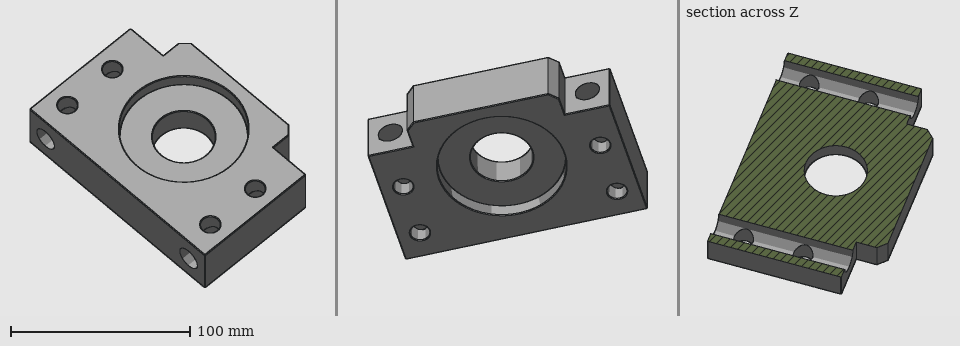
import cadquery as cq

WIDTH = 140.0
LENGTH = 96.0
HEIGHT = 32.0

TAB_WIDTH = 88.0
TAB_LENGTH = 17.0
TAB_BEVEL = 5.0
SHOULDER_Y = LENGTH - TAB_LENGTH

BORE_Y = 52.0
BORE_DIAMETER = 35.0
SEAT_DIAMETER = 72.0
SEAT_DEPTH = 7.5

HOLE_SPACING_X = 114.0
HOLE_PITCH_Y = 35.0
VERTICAL_HOLE_DIAMETER = 11.0
CROSS_HOLE_DIAMETER = 14.0

EDGE_CHAMFER = 0.5


def make_block():
    """Block with a bevelled tab; Y = 0 is the front face and Z = 0 the bottom."""
    base = cq.Workplane("XY").rect(WIDTH, SHOULDER_Y).extrude(HEIGHT)
    base = base.translate((0, SHOULDER_Y / 2, 0))
    base = base.edges("|Z").chamfer(EDGE_CHAMFER)
    tab = cq.Workplane("XY").rect(TAB_WIDTH, LENGTH).extrude(HEIGHT)
    tab = tab.translate((0, LENGTH / 2, 0))
    tab = tab.edges("|Z and >Y").chamfer(TAB_BEVEL)
    block = base.union(tab)
    return block.faces(">Z or <Z").edges().chamfer(EDGE_CHAMFER)


def round_cutter(diameter, x, y, bottom, top):
    """Vertical cylinder flared at both ends, so that it cuts a hole with chamfered rims."""
    radius = diameter / 2
    rim_radius = radius + EDGE_CHAMFER
    profile = (
        cq.Workplane("XZ")
        .moveTo(0, bottom)
        .lineTo(rim_radius, bottom)
        .lineTo(radius, bottom + EDGE_CHAMFER)
        .lineTo(radius, top - EDGE_CHAMFER)
        .lineTo(rim_radius, top)
        .lineTo(0, top)
        .close()
    )
    return profile.revolve(360, (0, 0, 0), (0, 1, 0)).translate((x, y, 0))


def cut_bearing_seats(body):
    """Recesses in the top and bottom, with a bored web left between them.

    The rims of the web are chamfered, leaving a small relief where each floor meets its wall.
    """
    web_height = HEIGHT - 2 * SEAT_DEPTH
    web = cq.Workplane("XY", origin=(0, BORE_Y, SEAT_DEPTH)).circle(SEAT_DIAMETER / 2).extrude(web_height)
    web = web.edges("%CIRCLE").chamfer(EDGE_CHAMFER)
    recesses = round_cutter(SEAT_DIAMETER, 0, BORE_Y, 0, HEIGHT).cut(web)
    bore = round_cutter(BORE_DIAMETER, 0, BORE_Y, SEAT_DEPTH, HEIGHT - SEAT_DEPTH)
    return body.cut(recesses).cut(bore)


def cut_mounting_holes(body):
    """Two vertical holes and one hole along Y on each side of the bore."""
    for x in (-HOLE_SPACING_X / 2, HOLE_SPACING_X / 2):
        for y in (BORE_Y - HOLE_PITCH_Y, BORE_Y):
            body = body.cut(round_cutter(VERTICAL_HOLE_DIAMETER, x, y, 0, HEIGHT))
        cross_hole = cq.Workplane("XZ", origin=(x, 0, HEIGHT / 2)).circle(CROSS_HOLE_DIAMETER / 2)
        body = body.cut(cross_hole.extrude(-SHOULDER_Y))
    return body


result = cut_mounting_holes(cut_bearing_seats(make_block()))